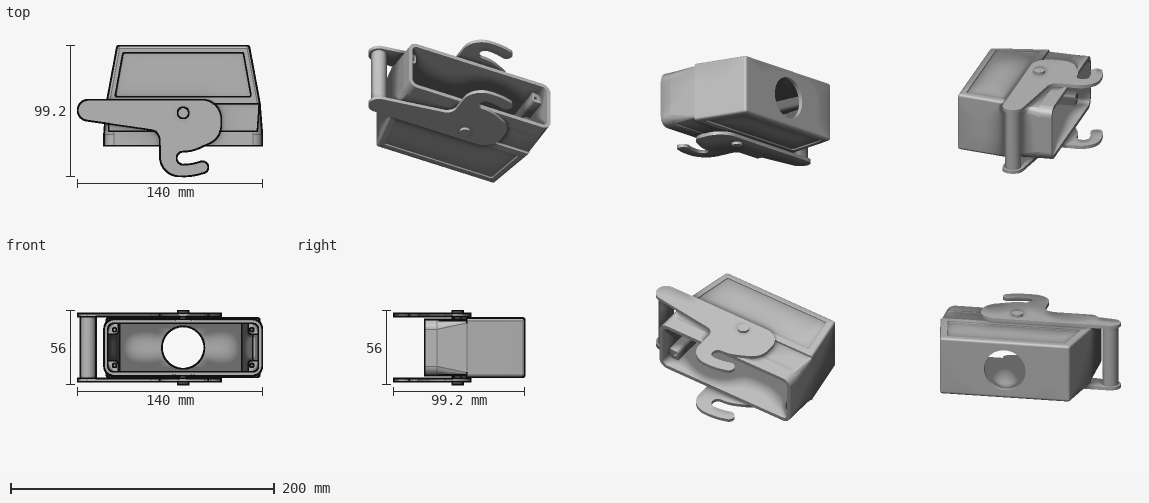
import cadquery as cq
import math

hood_length = 76.0
side_slope = 0.186

rim_half_width = 60.0
rim_half_height = 21.3
rim_depth = 9.0
rim_corner_radius = 7.3

shoulder_y = 32.0
rear_half_width = 50.0
rear_half_height = 22.5
rear_edge_radius = 2.0
shoulder_half_width = rear_half_width + side_slope * (hood_length - shoulder_y)
neck_corner_radius = 2.4

pocket_front_y = 10.9
pocket_floor_z = 20.5
pocket_floor_fillet = 0.4
pivot_boss_half_width = 6.0
pivot_boss_fillet = 2.1

recess_front_y = 37.2
recess_rear_y = 70.6
recess_front_half_width = 51.6
recess_rear_half_width = 45.6
recess_corner_radius = 1.5
recess_depth = 1.1
recess_floor_fillet = 0.4

rim_wall = 3.0
rear_wall = 3.0
cavity_half_width = rim_half_width - rim_wall
cavity_half_height = rim_half_height - rim_wall
cavity_corner_radius = rim_corner_radius - rim_wall
cavity_end_y = hood_length - rear_wall
cavity_left_end = 48.2
cavity_right_end = 44.5
right_ledge_width = 4.3
cable_hole_diameter = 32.0

post_x = 52.0
post_z = 13.5
post_front_y = 9.4
post_half_width = 2.8
post_half_height = 3.5
post_corner_radius = 2.7
screw_hole_diameter = 3.0
screw_hole_depth = 10.0

pivot_y = 25.0
pin_diameter = 5.45
pin_head_diameter = 8.5
pin_head_z = 28.0
plate_outer_z = 26.0
plate_thickness = 2.6
plate_inner_z = plate_outer_z - plate_thickness
pin_bottom_z = rim_half_height - rim_wall / 2
grip_x = -72.0
grip_y = 27.0
grip_diameter = 12.0
grip_end_radius = 8.0
arm_taper = math.radians(8.2)
hook_left_x = -17.7
arm_fillet = 8.0
hook_heel_radius = 15.0
hook_outer_radius = 48.25
slot_outer_radius = 39.15
slot_inner_radius = 29.45
hook_tip_angle = math.radians(19.5)
cheek_right_x = 28.8
cheek_radius = 14.3
cheek_lower_y = 15.1


def rounded_section(half_width, half_height, radius):
    return cq.Sketch().rect(2 * half_width, 2 * half_height).vertices().fillet(radius)


def xz_plane(y):
    return cq.Workplane("XZ", origin=(0, y, 0))


def cylinder_z(x, y, diameter, z_low, z_high):
    base = cq.Workplane("XY", origin=(x, y, z_low))
    return base.circle(diameter / 2).extrude(z_high - z_low)


def trapezoid(front_y, front_half, rear_y, rear_half, z_low, z_high):
    corners = [(-front_half, front_y), (front_half, front_y), (rear_half, rear_y), (-rear_half, rear_y)]
    return cq.Workplane("XY", origin=(0, 0, z_low)).polyline(corners).close().extrude(z_high - z_low)


def with_mirror(shape):
    return shape.union(shape.mirror("XY"))


def make_neck_pocket():
    """Open-ended pocket with filleted floor edges, interrupted by the pivot boss."""
    length = shoulder_y - pocket_front_y
    depth = rear_half_height - pocket_floor_z
    trough = cq.Workplane("XY").box(2 * rim_half_width, length, depth, centered=False)
    trough = trough.translate((-rim_half_width, pocket_front_y, pocket_floor_z))
    trough = trough.faces("<Z").edges("|X").fillet(pocket_floor_fillet)

    width = rim_half_width - pivot_boss_half_width
    right_half = cq.Workplane("XY").box(width, length, depth, centered=False)
    right_half = right_half.translate((pivot_boss_half_width, pocket_front_y, pocket_floor_z))
    right_half = right_half.edges("|Z and <X").fillet(pivot_boss_fillet)
    return trough.intersect(right_half.union(right_half.mirror("YZ")))


def make_shell():
    rim_section = rounded_section(rim_half_width, rim_half_height, rim_corner_radius)
    rim = xz_plane(0).placeSketch(rim_section).extrude(-rim_depth)

    neck_length = shoulder_y - rim_depth
    neck_end = rounded_section(shoulder_half_width, rim_half_height, neck_corner_radius)
    neck_end = neck_end.moved(cq.Location(cq.Vector(0, 0, -neck_length)))
    neck = xz_plane(rim_depth).placeSketch(rim_section, neck_end).loft()

    rear = trapezoid(shoulder_y, shoulder_half_width, hood_length, rear_half_width,
                     -rear_half_height, rear_half_height)
    rear = rear.edges("not <Y").fillet(rear_edge_radius)

    recess = trapezoid(recess_front_y, recess_front_half_width, recess_rear_y, recess_rear_half_width,
                       rear_half_height - recess_depth, rear_half_height)
    recess = recess.edges("|Z").fillet(recess_corner_radius)
    recess = recess.faces("<Z").edges().fillet(recess_floor_fillet)

    shell = rim.union(neck).union(rear)
    return shell.cut(with_mirror(recess)).cut(with_mirror(make_neck_pocket()))


def make_cavity():
    left_bend_y = cavity_end_y - (cavity_half_width - cavity_left_end) / side_slope
    right_bend_x = cavity_half_width - right_ledge_width
    right_bend_y = cavity_end_y - (right_bend_x - cavity_right_end) / side_slope
    outline = [
        (-cavity_half_width, 0),
        (cavity_half_width, 0),
        (cavity_half_width, right_bend_y),
        (right_bend_x, right_bend_y),
        (cavity_right_end, cavity_end_y),
        (-cavity_left_end, cavity_end_y),
        (-cavity_half_width, left_bend_y),
    ]
    cavity = cq.Workplane("XY").polyline(outline).close().extrude(cavity_half_height, both=True)
    section = rounded_section(cavity_half_width, cavity_half_height, cavity_corner_radius)
    cavity = cavity.intersect(xz_plane(0).placeSketch(section).extrude(-cavity_end_y))
    cable_hole = xz_plane(0).circle(cable_hole_diameter / 2).extrude(-hood_length)
    return cavity.union(cable_hole)


def make_post(x_side, z_side):
    """Corner post from near the mouth to the rear wall, rounded on its inner edge."""
    inner_x = post_x - post_half_width
    inner_z = post_z - post_half_height
    width = cavity_half_width - inner_x
    height = cavity_half_height - inner_z
    length = cavity_end_y - post_front_y
    post = cq.Workplane("XY").box(width, length, height, centered=False)
    post = post.translate((inner_x, post_front_y, inner_z))
    post = post.edges("|Y and <X and <Z").fillet(post_corner_radius)
    hole = cq.Workplane("XZ", origin=(post_x, post_front_y, post_z))
    post = post.cut(hole.circle(screw_hole_diameter / 2).extrude(-screw_hole_depth))
    if x_side < 0:
        post = post.mirror("YZ")
    if z_side < 0:
        post = post.mirror("XY")
    return post


def make_hood():
    shell = make_shell()
    cavity = make_cavity()
    hood = shell.cut(cavity)
    for x_side in (-1, 1):
        for z_side in (-1, 1):
            hood = hood.union(make_post(x_side, z_side).intersect(cavity))
    return hood


def polar(centre, radius, angle):
    """Point on a circle; the angle is measured from -Y towards +X."""
    return (centre[0] + radius * math.sin(angle), centre[1] - radius * math.cos(angle))


def make_plate():
    pivot = (0, pivot_y)
    grip = (grip_x, grip_y)
    top_y = grip_y + grip_end_radius

    fillet_x = hook_left_x - arm_fillet
    centre_gap = grip_end_radius + arm_fillet
    fillet_y = grip_y - (fillet_x - grip_x) * math.tan(arm_taper) - centre_gap / math.cos(arm_taper)
    fillet_centre = (fillet_x, fillet_y)

    heel_x = hook_left_x + hook_heel_radius
    heel_y = pivot_y - math.sqrt((hook_outer_radius - hook_heel_radius) ** 2 - heel_x**2)
    heel = (heel_x, heel_y)
    heel_end_angle = math.atan2(heel_x, pivot_y - heel_y)
    heel_mid_angle = (heel_end_angle - math.pi / 2) / 2

    tip_radius = (hook_outer_radius - slot_outer_radius) / 2
    tip = polar(pivot, (hook_outer_radius + slot_outer_radius) / 2, hook_tip_angle)
    slot_radius = (slot_outer_radius - slot_inner_radius) / 2
    slot_centre_y = pivot_y - (slot_outer_radius + slot_inner_radius) / 2

    cheek_x = cheek_right_x - cheek_radius
    cheek_low = (cheek_x, cheek_lower_y)
    cheek_top = (cheek_x, top_y - cheek_radius)
    cheek_drop = pivot_y - cheek_lower_y
    cheek_distance = math.hypot(cheek_x, cheek_drop)
    tangent_angle = math.atan2(cheek_x, cheek_drop) - math.acos(
        (slot_inner_radius - cheek_radius) / cheek_distance
    )
    cheek_mid_angle = (tangent_angle + math.pi / 2) / 2

    outline = (
        cq.Workplane("XY", origin=(0, 0, plate_inner_z))
        .moveTo(grip_x, top_y)
        .threePointArc((grip_x - grip_end_radius, grip_y), polar(grip, grip_end_radius, -arm_taper))
        .lineTo(*polar(fillet_centre, arm_fillet, math.pi - arm_taper))
        .threePointArc(
            polar(fillet_centre, arm_fillet, (3 * math.pi / 2 - arm_taper) / 2),
            (hook_left_x, fillet_y),
        )
        .lineTo(hook_left_x, heel_y)
        .threePointArc(
            polar(heel, hook_heel_radius, heel_mid_angle),
            polar(pivot, hook_outer_radius, heel_end_angle),
        )
        .threePointArc(
            polar(pivot, hook_outer_radius, 0),
            polar(pivot, hook_outer_radius, hook_tip_angle),
        )
        .threePointArc(
            polar(tip, tip_radius, hook_tip_angle + math.pi / 2),
            polar(pivot, slot_outer_radius, hook_tip_angle),
        )
        .threePointArc(
            polar(pivot, slot_outer_radius, hook_tip_angle / 2),
            polar(pivot, slot_outer_radius, 0),
        )
        .threePointArc((-slot_radius, slot_centre_y), polar(pivot, slot_inner_radius, 0))
        .threePointArc(
            polar(pivot, slot_inner_radius, tangent_angle / 2),
            polar(pivot, slot_inner_radius, tangent_angle),
        )
        .lineTo(*polar(cheek_low, cheek_radius, tangent_angle))
        .threePointArc(polar(cheek_low, cheek_radius, cheek_mid_angle), (cheek_right_x, cheek_low[1]))
        .lineTo(cheek_right_x, cheek_top[1])
        .threePointArc(polar(cheek_top, cheek_radius, 3 * math.pi / 4), (cheek_x, top_y))
        .close()
    )
    return outline.extrude(plate_thickness)


def make_lever():
    pin = cylinder_z(0, pivot_y, pin_diameter, pin_bottom_z, plate_outer_z)
    head = cylinder_z(0, pivot_y, pin_head_diameter, plate_outer_z, pin_head_z)
    side = make_plate().union(pin).union(head)
    grip_bar = cylinder_z(grip_x, grip_y, grip_diameter, -plate_inner_z, plate_inner_z)
    return with_mirror(side).union(grip_bar)


result = make_hood().union(make_lever())